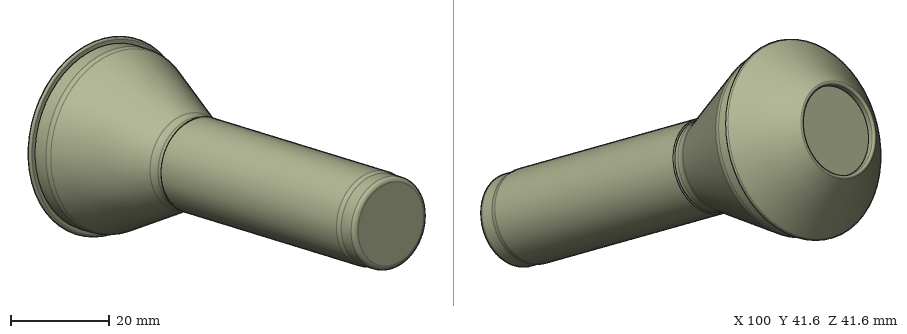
import cadquery as cq
import math


flange_diameter = 41.61
flange_edge_radius = 0.5
flange_back = 11.5
front_cone_angle = 45
recess_depth = 1.6
rim_edge_radius = 0.45
collar_diameter = 39.0
collar_length = 4.0
rear_cone_length = 22.0
collar_blend_radius = 3.0
neck_diameter = 19.5
neck_length = 2.0
neck_blend_radius = 5.0

overall_length = 100.0
handle_diameter = 20.0
tail_diameter = 19.5
tail_length = 4.1
tail_taper_length = 1.2
tail_edge_radius = 1.0

rear_cone_start = flange_back + collar_length
rear_cone_end = rear_cone_start + rear_cone_length
head_end = rear_cone_end + neck_length
tail_start = overall_length - tail_length
taper_start = tail_start - tail_taper_length

ORIGIN = (0, 0, 0)
X_AXIS = (1, 0, 0)


def turn(profile):
    """Revolve a closed half profile, drawn as (x, radius), about the X axis."""
    return profile.close().revolve(360, ORIGIN, X_AXIS)


def make_head():
    """Flanged double cone with a shallow recess in its front."""
    collar_radius = collar_diameter / 2
    neck_radius = neck_diameter / 2

    cone_angle = math.radians(front_cone_angle)
    edge_center_x = flange_back - flange_edge_radius
    edge_center_r = flange_diameter / 2 - flange_edge_radius
    edge_start_x = edge_center_x - flange_edge_radius * math.sin(cone_angle)
    edge_start_r = edge_center_r + flange_edge_radius * math.cos(cone_angle)

    rim_end_x = rim_edge_radius * (1 - math.sin(cone_angle))
    rim_end_r = edge_start_r - (edge_start_x - rim_end_x) * math.tan(cone_angle)
    rim_center_r = rim_end_r - rim_edge_radius * math.cos(cone_angle)
    recess_radius = rim_center_r - rim_edge_radius

    slope = math.atan2(collar_radius - neck_radius, rear_cone_length)
    collar_setback = collar_blend_radius * math.tan(slope / 2)
    neck_setback = neck_blend_radius * math.tan(slope / 2)
    cos_slope = math.cos(slope)
    sin_slope = math.sin(slope)

    profile = (
        cq.Workplane("XY")
        .moveTo(recess_depth, 0)
        .lineTo(recess_depth, recess_radius)
        .lineTo(rim_edge_radius, recess_radius)
        .threePointArc((0, rim_center_r), (rim_end_x, rim_end_r))
        .lineTo(edge_start_x, edge_start_r)
        .threePointArc((edge_center_x, flange_diameter / 2), (flange_back, edge_center_r))
        .lineTo(flange_back, collar_radius)
        .lineTo(rear_cone_start - collar_setback, collar_radius)
        .tangentArcPoint(
            (rear_cone_start + collar_setback * cos_slope, collar_radius - collar_setback * sin_slope),
            relative=False,
        )
        .lineTo(rear_cone_end - neck_setback * cos_slope, neck_radius + neck_setback * sin_slope)
        .tangentArcPoint((rear_cone_end + neck_setback, neck_radius), relative=False)
        .lineTo(head_end, neck_radius)
        .lineTo(head_end, 0)
    )
    return turn(profile)


def make_handle():
    """Round handle with a chamfered front edge and a slightly thinner rounded tail."""
    handle_radius = handle_diameter / 2
    tail_radius = tail_diameter / 2
    front_chamfer = (handle_diameter - neck_diameter) / 2

    profile = (
        cq.Workplane("XY")
        .moveTo(head_end, 0)
        .lineTo(head_end, handle_radius - front_chamfer)
        .lineTo(head_end + front_chamfer, handle_radius)
        .lineTo(taper_start, handle_radius)
        .lineTo(tail_start, tail_radius)
        .lineTo(overall_length - tail_edge_radius, tail_radius)
        .tangentArcPoint((overall_length, tail_radius - tail_edge_radius), relative=False)
        .lineTo(overall_length, 0)
    )
    return turn(profile)


head = make_head()
handle = make_handle()

result = cq.Compound.makeCompound([head.val(), handle.val()])